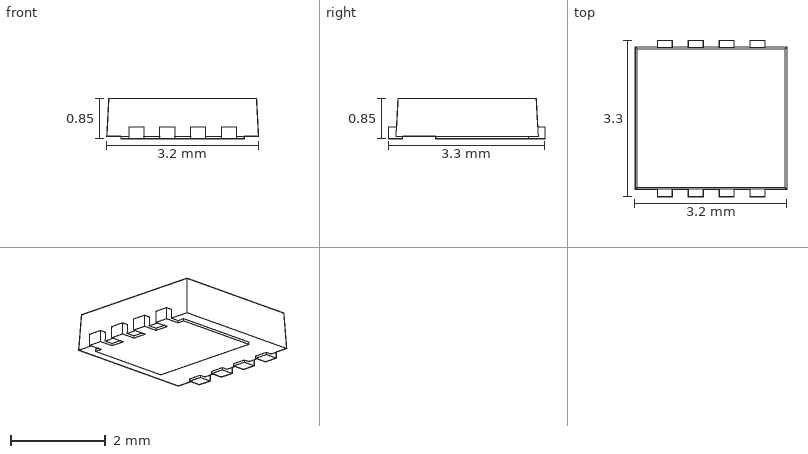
import cadquery as cq

body_x = 3.2
body_y = 3.0
total_height = 0.85
standoff = 0.05
draft_angle = 3.0

leads_per_side = 4
lead_pitch = 0.65
lead_width = 0.32
lead_height = 0.25
front_overhang = 0.16
back_overhang = 0.14
front_lead_length = 0.30

pad_x = 2.6
pad_y = 1.96
back_lead_length = 0.345

front_tip_y = -body_y / 2 - front_overhang
back_tip_y = body_y / 2 + back_overhang
pad_back_y = back_tip_y - back_lead_length


def box_on_seat(x_center, y_min, x_size, y_size, height):
    """Box standing on the seating plane, centred in X and starting at y_min."""
    corner = (x_center - x_size / 2, y_min, 0)
    return cq.Workplane("XY").box(x_size, y_size, height, centered=False).translate(corner)


def make_body():
    """Block whose four walls lean inward toward the top."""
    return (
        cq.Workplane("XY")
        .workplane(offset=standoff)
        .rect(body_x, body_y)
        .extrude(total_height - standoff, taper=draft_angle)
    )


def make_lead_row(y_min, length):
    """Row of identical leads, evenly pitched about X = 0."""
    row = cq.Workplane("XY")
    for index in range(leads_per_side):
        x_center = (index - (leads_per_side - 1) / 2) * lead_pitch
        row = row.add(box_on_seat(x_center, y_min, lead_width, length, lead_height))
    return row.combine()


def make_thermal_pad():
    """Thin plate filling the gap between the seating plane and the body."""
    return box_on_seat(0, pad_back_y - pad_y, pad_x, pad_y, standoff)


result = (
    make_body()
    .union(make_lead_row(front_tip_y, front_lead_length))
    .union(make_lead_row(pad_back_y, back_lead_length))
    .union(make_thermal_pad())
)